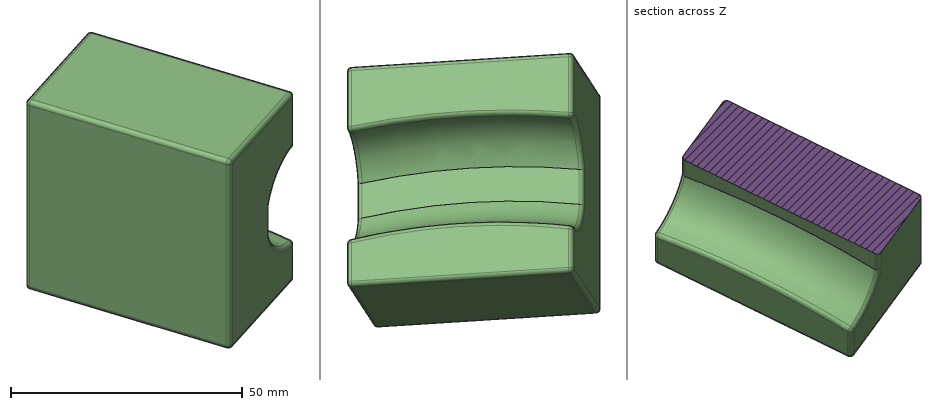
import cadquery as cq
import math

width = 50.0
depth = 30.0
height = 50.0
edge_radius = 1.0

channel_radius = 12.15
channel_depth = 11.5
end_drop = 2.1
overrun = 5.0

back_y = depth / 2
arch_radius = ((width / 2) ** 2 + end_drop**2) / (2 * end_drop)


def make_block():
    return cq.Workplane("XY").box(width, depth, height)


def make_channel():
    """Round section, flattened at its floor, swept along a shallow arch."""
    half_floor = math.sqrt(channel_radius**2 - channel_depth**2)
    half_span = width / 2 + overrun
    sweep_angle = 2 * math.degrees(math.asin(half_span / arch_radius))
    section = (
        cq.Workplane("YZ")
        .moveTo(back_y + channel_radius, 0)
        .threePointArc((back_y, channel_radius), (back_y - channel_depth, half_floor))
        .lineTo(back_y - channel_depth, -half_floor)
        .threePointArc((back_y, -channel_radius), (back_y + channel_radius, 0))
        .close()
    )
    arch_axis_start = (0, -arch_radius)
    arch_axis_end = (1, -arch_radius)
    channel = section.revolve(sweep_angle, arch_axis_start, arch_axis_end)
    return channel.rotate((0, 0, -arch_radius), (0, 1, -arch_radius), -sweep_angle / 2)


def round_outer_edges(body):
    """Round every edge bordering one of the block's six outer faces."""
    rims = body.faces("<X or >X or <Y or >Y or <Z or >Z").edges()
    return rims.fillet(edge_radius)


result = round_outer_edges(make_block().cut(make_channel()))